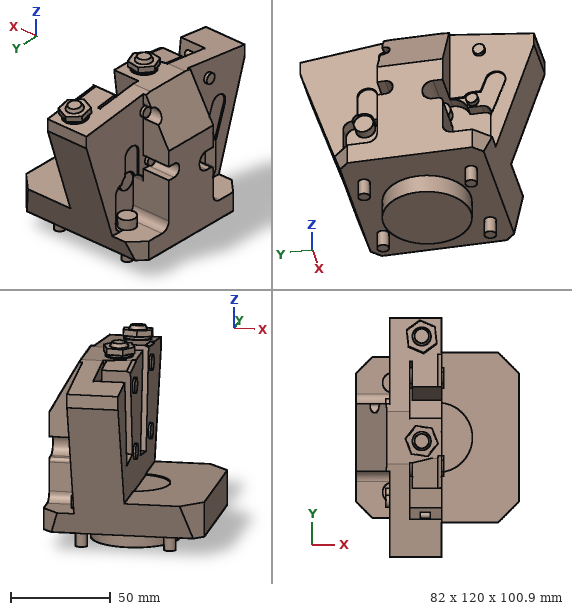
import cadquery as cq
import math

BASE_LENGTH = 82.0
BASE_THICK = 18.0
LEDGE_Z = 11.0
CORNER_Y = 32.0
CORNER_RUN = 14.4

WALL_FRONT_X = -24.0
WALL_BACK_X = 2.0
HALF_WIDTH = 60.0
FOOT_HALF_WIDTH = 36.8
SHOULDER_Z = 71.0
EDGE_TOP_Z = 78.0
TOP_Z = 84.0
CREST_HALF_WIDTH = 13.2

BLOCK_HALF_WIDTH = 16.8
BLOCK_SLOPE_TOP_X = -25.5
BLOCK_SLOPE_FOOT_Z = 56.9

FLANGE_DIA = 45.0
FLANGE_DEPTH = 10.0
RECESS_DIA = 35.0
RECESS_DEPTH = 0.6

SCREW_X = 22.5
SCREW_Y = 27.5
SHANK_DIA = 6.0
SHANK_DROP = 8.8
HEAD_DIA = 10.0
HEAD_HEIGHT = 5.9

POCKET_OUTER_Y = 37.9
POCKET_TOP_Z = 37.9
POCKET_RADIUS = 5.0
POCKET_DEPTH = 7.0
SHALLOW_DEPTH = 1.0
SLOT_WIDTH = 10.3
SLOT_LENGTH = 18.0
LEFT_SLOT_TOP = (25.5, 51.7)
RIGHT_SLOT_TOP = (-40.2, 52.3)
RIGHT_SLOT_ANGLE = 20.0

ROD_DIA = 10.0
ROD_FRONT_X = -22.3
ROD_CLEARANCE = 5.5
ROD_LEFT = (27.8, 36.7)
ROD_RIGHT = (-11.9, 38.6)
ROD_LIP_RADIUS = 2.0
SWEEP_RADIUS = 9.7

PIN_DIA = 6.0
PIN_PROUD = 1.9
PIN_CLEARANCE = 4.0
PIN_LEFT_HIGH = (16.3, 73.3)
PIN_LEFT_LOW = (12.7, 43.7)
PIN_RIGHT_HIGH = (-32.0, 71.3)
PIN_RIGHT_LOW = (-28.5, 41.6)
PIN_NICHE_RADIUS = 4.9

NOTCH_FRONT_X = -14.0
FINGER_FRONT_X = -12.6
FINGER_LENGTH = 16.2
FINGER_NOSE_Y = 25.5
FINGER_TRIM_DEPTH = 0.4
FINGER_EDGE_RUN = 1.9
FINGER_EDGE_DROP = 0.8
CROSS_PIN_DIA = 8.0
CROSS_PIN_PROUD = 1.1

STUB_DIA = 3.2
STUB_CENTRE = (-39.1, 74.4)
STUB_FRONT_X = -8.6
STUB_LENGTH = 5.0

NUT_X = -7.9
FLAT_NUT_Y = -1.8
FLAT_NUT_TURN = -8.5
TILTED_NUT_Y = 50.0
TILTED_NUT_TURN = 36.5
COLLAR_DIA = 12.6
WASHER_DIA = 14.0
WASHER_HEIGHT = 0.2
COLLAR_HEIGHT = 1.7
NUT_HEIGHT = 3.2
NUT_CORNER_DIA = 16.5
TIP_HEIGHT = 2.0
TIP_BASE_DIA = 9.4
TIP_END_DIA = 7.2
EMBED = 1.2

CLAMPS = [
    dict(side=1, nose=FINGER_NOSE_Y, notch_end=9.6, slit_end=38.3, depth=53.4, trimmed=False,
         pins=[(31.0, 72.4), (28.7, 37.5)]),
    dict(side=-1, nose=-FINGER_NOSE_Y, notch_end=-41.0, slit_end=-12.7, depth=45.0, trimmed=True,
         pins=[(-15.4, 72.4), (-13.1, 37.5)]),
]

BASE_HALF = BASE_LENGTH / 2
FLANK_SLOPE = (HALF_WIDTH - FOOT_HALF_WIDTH) / SHOULDER_Z
TILT = math.atan2(TOP_Z - EDGE_TOP_Z, HALF_WIDTH - CREST_HALF_WIDTH)
ABOVE = 6.0


def yz_prism(outline, x_from, x_to):
    """Extrude an outline of (Y, Z) points between two X positions."""
    return cq.Workplane("YZ", origin=(x_from, 0, 0)).polyline(outline).close().extrude(x_to - x_from)


def x_cylinder(centre, diameter, x_from, x_to):
    """Round bar along X centred on a (Y, Z) point."""
    plane = cq.Workplane("YZ", origin=(x_from, 0, 0))
    return plane.center(*centre).circle(diameter / 2).extrude(x_to - x_from)


def z_cylinder(centre, diameter, z_from, z_to):
    """Round bar along Z centred on an (X, Y) point."""
    plane = cq.Workplane("XY", origin=(*centre, z_from))
    return plane.circle(diameter / 2).extrude(z_to - z_from)


def box(x_range, y_range, z_range):
    size = [high - low for low, high in (x_range, y_range, z_range)]
    corner = (x_range[0], y_range[0], z_range[0])
    return cq.Workplane("XY").box(*size, centered=False).translate(corner)


def tilted_top_z(side, y):
    """Height of the sloping top face on one side, continued past the crest."""
    return TOP_Z - math.tan(TILT) * (side * y - CREST_HALF_WIDTH)


def make_base():
    top_half = FOOT_HALF_WIDTH + FLANK_SLOPE * BASE_THICK
    section = [(-FOOT_HALF_WIDTH, 0), (FOOT_HALF_WIDTH, 0), (top_half, BASE_THICK), (-top_half, BASE_THICK)]
    plate = yz_prism(section, -BASE_HALF, BASE_HALF)
    far_y = CORNER_Y + CORNER_RUN
    near_x = BASE_HALF - CORNER_RUN
    octagon = [
        (BASE_HALF, CORNER_Y), (near_x, far_y), (-near_x, far_y), (-BASE_HALF, CORNER_Y),
        (-BASE_HALF, -CORNER_Y), (-near_x, -far_y), (near_x, -far_y), (BASE_HALF, -CORNER_Y),
    ]
    plate = plate.intersect(cq.Workplane("XY").polyline(octagon).close().extrude(BASE_THICK))
    recess = z_cylinder((0, 0), RECESS_DIA, BASE_THICK - RECESS_DEPTH, BASE_THICK)
    ledge = box((-BASE_HALF, WALL_FRONT_X), (-HALF_WIDTH, HALF_WIDTH), (LEDGE_Z, BASE_THICK))
    return plate.cut(recess).cut(ledge)


def wall_prism(x_from, x_to):
    left_half = [
        (FOOT_HALF_WIDTH, 0), (HALF_WIDTH, SHOULDER_Z), (HALF_WIDTH, EDGE_TOP_Z), (CREST_HALF_WIDTH, TOP_Z),
    ]
    mirrored = [(-y, z) for y, z in reversed(left_half)]
    return yz_prism(left_half + mirrored, x_from, x_to)


def make_block():
    side_profile = [
        (WALL_FRONT_X, 0), (WALL_FRONT_X, TOP_Z), (BLOCK_SLOPE_TOP_X, TOP_Z),
        (-BASE_HALF, BLOCK_SLOPE_FOOT_Z), (-BASE_HALF, 0),
    ]
    block = cq.Workplane("XZ").polyline(side_profile).close().extrude(BLOCK_HALF_WIDTH, both=True)
    return block.intersect(wall_prism(-BASE_HALF, WALL_FRONT_X))


def screw_pocket(side):
    """Rounded pocket in the wall beside the block, giving room to a screw head."""
    width = POCKET_OUTER_Y - BLOCK_HALF_WIDTH
    height = POCKET_TOP_Z - LEDGE_Z
    centre_y = side * (POCKET_OUTER_Y + BLOCK_HALF_WIDTH) / 2
    plane = cq.Workplane("YZ", origin=(WALL_FRONT_X, centre_y, LEDGE_Z + height / 2))
    return plane.rect(width, height).extrude(POCKET_DEPTH).edges("|X").fillet(POCKET_RADIUS)


def block_foot_fillet(side):
    """Concave rounding where the block stands on the ledge."""
    inner_y = side * BLOCK_HALF_WIDTH
    outer_y = side * (BLOCK_HALF_WIDTH + POCKET_RADIUS)
    reach = POCKET_RADIUS * (1 - math.sqrt(0.5))
    middle = (inner_y + side * reach, LEDGE_Z + reach)
    plane = cq.Workplane("YZ", origin=(-BASE_HALF, 0, 0)).moveTo(inner_y, LEDGE_Z)
    outline = plane.lineTo(outer_y, LEDGE_Z).threePointArc(middle, (inner_y, LEDGE_Z + POCKET_RADIUS)).close()
    return outline.extrude(WALL_FRONT_X + BASE_HALF)


def shallow_slot(top_centre, length, angle):
    """Shallow round-ended slot running down from its top centre, turned by an angle about X."""
    slot = cq.Workplane("YZ", origin=(WALL_FRONT_X, 0, 0)).center(0, -length / 2)
    slot = slot.slot2D(length + SLOT_WIDTH, SLOT_WIDTH, 90).extrude(SHALLOW_DEPTH)
    return slot.rotate((0, 0, 0), (1, 0, 0), angle).translate((0, *top_centre))


def pin_niche():
    """Shallow niche around the lower right pin, joined to the tilted slot and the rod opening."""
    depth = (WALL_FRONT_X, WALL_FRONT_X + SHALLOW_DEPTH)
    y, z = PIN_RIGHT_LOW
    niche = x_cylinder(PIN_RIGHT_LOW, 2 * PIN_NICHE_RADIUS, *depth)
    to_slot = box(depth, (y - PIN_NICHE_RADIUS, y), (POCKET_TOP_Z, z + PIN_NICHE_RADIUS))
    to_rod = box(depth, (y, -BLOCK_HALF_WIDTH), (POCKET_TOP_Z, ROD_RIGHT[1] + ROD_CLEARANCE))
    return niche.union(to_slot).union(to_rod)


def rod_opening():
    """Opening through the block for the right rod, swept down into the screw pocket in the wall."""
    y, z = ROD_RIGHT
    depth = (-BASE_HALF, WALL_FRONT_X + POCKET_DEPTH)
    opening = x_cylinder(ROD_RIGHT, 2 * ROD_CLEARANCE, *depth)
    opening = opening.union(box(depth, (-BLOCK_HALF_WIDTH, y), (z - ROD_CLEARANCE, z + ROD_CLEARANCE)))
    sweep_centre = (-BLOCK_HALF_WIDTH, z + ROD_CLEARANCE - SWEEP_RADIUS)
    sweep = x_cylinder(sweep_centre, 2 * SWEEP_RADIUS, WALL_FRONT_X, WALL_FRONT_X + POCKET_DEPTH)
    beside_block = box(
        (WALL_FRONT_X, WALL_FRONT_X + POCKET_DEPTH), (-POCKET_OUTER_Y, -BLOCK_HALF_WIDTH), (LEDGE_Z, TOP_Z))
    lip_y = -BLOCK_HALF_WIDTH
    lip_z = z - ROD_CLEARANCE
    lip = box(depth, (lip_y, lip_y + ROD_LIP_RADIUS), (lip_z - ROD_LIP_RADIUS, lip_z))
    lip = lip.cut(x_cylinder((lip_y + ROD_LIP_RADIUS, lip_z - ROD_LIP_RADIUS), 2 * ROD_LIP_RADIUS, *depth))
    return opening.union(sweep.intersect(beside_block)).union(lip)


def pin_clearance(centre):
    """Round-ended channel across the block that frees a left pin."""
    y, z = centre
    channel = x_cylinder(centre, 2 * PIN_CLEARANCE, -BASE_HALF, WALL_FRONT_X)
    mouth = box((-BASE_HALF, WALL_FRONT_X), (y, BLOCK_HALF_WIDTH + PIN_CLEARANCE),
                (z - PIN_CLEARANCE, z + PIN_CLEARANCE))
    return channel.union(mouth)


def slanted_prism(side, y_a, y_b, depth, x_from, x_to):
    """Cutter square to one sloping top face, open above it and reaching down by a depth."""
    def point(y, down):
        return (y - side * math.sin(TILT) * down, tilted_top_z(side, y) - math.cos(TILT) * down)
    outline = [point(y_a, -ABOVE), point(y_b, -ABOVE), point(y_b, depth), point(y_a, depth)]
    return yz_prism(outline, x_from, x_to)


def finger_edge_cut(side, y_a, y_b, lowered):
    """Bevel along the rear top edge of a finger."""
    def section(y):
        z = tilted_top_z(side, y) - lowered
        front_x = WALL_BACK_X - FINGER_EDGE_RUN
        outline = [
            (front_x, z), (WALL_BACK_X, z - FINGER_EDGE_DROP),
            (WALL_BACK_X, z + ABOVE), (front_x, z + ABOVE),
        ]
        return cq.Workplane("XZ", origin=(0, y, 0)).polyline(outline).close().val()
    return cq.Workplane(cq.Solid.makeLoft([section(y_a), section(y_b)], True))


def finger_trim(clamp):
    """Thin layer taken off the top of the lowered finger, ending along an oblique line."""
    side, nose = clamp["side"], clamp["nose"]
    layer = slanted_prism(side, nose, nose + FINGER_LENGTH, FINGER_TRIM_DEPTH, FINGER_FRONT_X, WALL_BACK_X)
    plan = [
        (FINGER_FRONT_X, nose), (WALL_BACK_X, nose),
        (WALL_BACK_X, nose + FINGER_LENGTH), (FINGER_FRONT_X, clamp["slit_end"]),
    ]
    return layer.intersect(cq.Workplane("XY").polyline(plan).close().extrude(TOP_Z + ABOVE))


def cut_clamp(body, clamp):
    """Open the notch in front of a finger and the slit beside it, and shape the finger top."""
    side, nose, depth = clamp["side"], clamp["nose"], clamp["depth"]
    body = body.cut(slanted_prism(side, clamp["notch_end"], nose, depth, NOTCH_FRONT_X, WALL_BACK_X))
    body = body.cut(slanted_prism(side, nose, clamp["slit_end"], depth, NOTCH_FRONT_X, FINGER_FRONT_X))
    lowered = 0
    if clamp["trimmed"]:
        lowered = FINGER_TRIM_DEPTH
        body = body.cut(finger_trim(clamp))
    return body.cut(finger_edge_cut(side, nose, nose + FINGER_LENGTH, lowered))


def cut_reliefs(body):
    for side in (1, -1):
        body = body.cut(screw_pocket(side)).union(block_foot_fillet(side))
    body = body.cut(x_cylinder(ROD_LEFT, 2 * ROD_CLEARANCE, WALL_FRONT_X, WALL_FRONT_X + POCKET_DEPTH))
    body = body.cut(rod_opening()).cut(pin_niche())
    body = body.cut(shallow_slot(LEFT_SLOT_TOP, SLOT_LENGTH, 0))
    body = body.cut(shallow_slot(RIGHT_SLOT_TOP, SLOT_LENGTH, RIGHT_SLOT_ANGLE))
    for centre in (PIN_LEFT_HIGH, PIN_LEFT_LOW):
        body = body.cut(pin_clearance(centre))
    return body


def add_bars(body):
    """Rods, front pins, cross pins in the fingers and the short bar at the end of the right notch."""
    for centre in (ROD_LEFT, ROD_RIGHT):
        body = body.union(x_cylinder(centre, ROD_DIA, ROD_FRONT_X, WALL_FRONT_X + POCKET_DEPTH + EMBED))
    for centre in (PIN_LEFT_HIGH, PIN_LEFT_LOW, PIN_RIGHT_HIGH, PIN_RIGHT_LOW):
        pin_end = WALL_FRONT_X + SHALLOW_DEPTH + EMBED
        body = body.union(x_cylinder(centre, PIN_DIA, WALL_FRONT_X - PIN_PROUD, pin_end))
    for clamp in CLAMPS:
        for centre in clamp["pins"]:
            pin_end = WALL_BACK_X + CROSS_PIN_PROUD
            body = body.union(x_cylinder(centre, CROSS_PIN_DIA, NOTCH_FRONT_X - EMBED, pin_end))
    return body.union(x_cylinder(STUB_CENTRE, STUB_DIA, STUB_FRONT_X, STUB_FRONT_X + STUB_LENGTH))


def add_underside(body):
    """Locating flange and four screws; only the front pair has raised heads."""
    body = body.union(z_cylinder((0, 0), FLANGE_DIA, -FLANGE_DEPTH, EMBED))
    for x in (-SCREW_X, SCREW_X):
        for y in (-SCREW_Y, SCREW_Y):
            body = body.union(z_cylinder((x, y), SHANK_DIA, -SHANK_DROP, EMBED))
            if x < 0:
                body = body.union(z_cylinder((x, y), HEAD_DIA, LEDGE_Z - EMBED, LEDGE_Z + HEAD_HEIGHT))
    return body


def make_nut(turn):
    """Washer, collar, hexagon and tapered stud tip standing on the XY plane."""
    washer = z_cylinder((0, 0), WASHER_DIA, -EMBED, WASHER_HEIGHT)
    collar = z_cylinder((0, 0), COLLAR_DIA, 0, COLLAR_HEIGHT)
    hexagon = cq.Workplane("XY", origin=(0, 0, COLLAR_HEIGHT)).polygon(6, NUT_CORNER_DIA).extrude(NUT_HEIGHT)
    tip = cq.Workplane("XY", origin=(0, 0, COLLAR_HEIGHT + NUT_HEIGHT)).circle(TIP_BASE_DIA / 2)
    tip = tip.workplane(offset=TIP_HEIGHT).circle(TIP_END_DIA / 2).loft()
    return washer.union(collar).union(hexagon).union(tip).rotate((0, 0, 0), (0, 0, 1), turn)


def add_nuts(body):
    flat_nut = make_nut(FLAT_NUT_TURN).translate((NUT_X, FLAT_NUT_Y, TOP_Z))
    tilted_nut = make_nut(TILTED_NUT_TURN).rotate((0, 0, 0), (1, 0, 0), -math.degrees(TILT))
    tilted_nut = tilted_nut.translate((NUT_X, TILTED_NUT_Y, tilted_top_z(1, TILTED_NUT_Y)))
    return body.union(flat_nut).union(tilted_nut)


body = make_base().union(wall_prism(WALL_FRONT_X, WALL_BACK_X)).union(make_block())
body = cut_reliefs(body)
for clamp in CLAMPS:
    body = cut_clamp(body, clamp)
body = add_bars(body)
body = add_underside(body)
result = add_nuts(body)